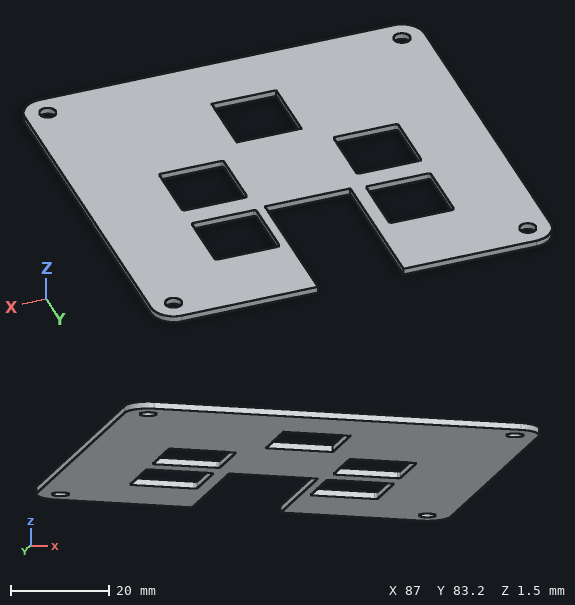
import cadquery as cq

plate_length = 87.0
plate_width = 83.2
plate_thickness = 1.5
corner_radius = 5.0

hole_diameter = 3.4
hole_span_x = plate_length - 2 * corner_radius
hole_span_y = plate_width - 2 * corner_radius

notch_width = 18.5
notch_center_x = -0.35
notch_floor_y = 10.6
notch_depth = plate_width / 2 - notch_floor_y

opening_size = 14.0
opening_corner_radius = 0.5
opening_pitch = 19.0
middle_column_x = -0.9
lower_row_y = -0.9
upper_row_y = lower_row_y + opening_pitch
single_opening_height = 14.7
single_opening_y = -20.5


def make_plate():
    return (
        cq.Workplane("XY")
        .box(plate_length, plate_width, plate_thickness)
        .edges("|Z")
        .fillet(corner_radius)
    )


def through_block(width, height, x, y):
    """Cutting block that passes through the full plate thickness."""
    return cq.Workplane("XY").box(width, height, 2 * plate_thickness).translate((x, y, 0))


def cut_mounting_holes(plate):
    return (
        plate.faces(">Z")
        .workplane(origin=(0, 0, 0))
        .rect(hole_span_x, hole_span_y, forConstruction=True)
        .vertices()
        .hole(hole_diameter)
    )


def cut_notch(plate):
    return plate.cut(through_block(notch_width, 2 * notch_depth, notch_center_x, plate_width / 2))


def cut_openings(plate):
    for side in (-1, 1):
        for row_y in (lower_row_y, upper_row_y):
            column_x = middle_column_x + side * opening_pitch
            opening = through_block(opening_size, opening_size, column_x, row_y)
            plate = plate.cut(opening.edges("|Z").fillet(opening_corner_radius))
    single = through_block(opening_size, single_opening_height, middle_column_x, single_opening_y)
    return plate.cut(single)


result = cut_openings(cut_notch(cut_mounting_holes(make_plate())))